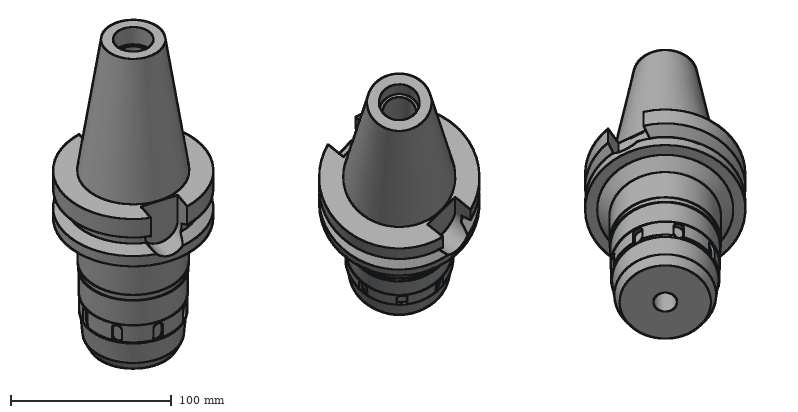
import cadquery as cq
import math

TOTAL_HEIGHT = 236.8
TAPER_LENGTH = 101.8
TAPER_RATIO = 7 / 24
GAUGE_DIAMETER = 69.9

FLANGE_RADIUS = 50.0
FLANGE_TOP_Z = 134.0
FLANGE_BOTTOM_Z = 96.9
GROOVE_RADIUS = 42.6
GROOVE_CENTRE_Z = 112.2
GROOVE_FLOOR_WIDTH = 6.2
GROOVE_FLANK_ANGLE = 30.0
NECK_CONE_RADIUS = 42.5

BODY_RADIUS = 34.8
BODY_TOP_Z = 89.0
BAND_RADIUS = 34.5
BAND_TOP_Z = 62.8
BAND_BOTTOM_Z = 58.3
SLEEVE_RADIUS = 34.0

NUT_RADIUS = 33.9
NUT_TOP_Z = 38.4
NUT_RIM_Z = 24.9
NUT_STEP_Z = 23.5
NOSE_TOP_RADIUS = 33.2
NOSE_BOTTOM_RADIUS = 31.7
NOSE_BOTTOM_Z = 7.0
FACE_RADIUS = 28.5

KEYWAY_COUNT = 2
KEYWAY_WIDTH = 25.5
KEYWAY_FLOOR_X = 35.3
KEYWAY_BOTTOM_Z = 101.0

SLOT_COUNT = 8
SLOT_WIDTH = 6.6
SLOT_LENGTH = 13.5
SLOT_CENTRE_Z = 30.3
SLOT_FLOOR_RADIUS = 31.5

THROUGH_RADIUS = 7.3
THREAD_RADIUS = 10.5
THREAD_DEPTH = 47.4
COUNTERBORE_RADIUS = 12.5
COUNTERBORE_DEPTH = 13.5


def make_body():
    """Revolve the half outline of the whole holder about Z."""
    gauge_z = TOTAL_HEIGHT - TAPER_LENGTH
    gauge_radius = GAUGE_DIAMETER / 2
    taper_top_radius = gauge_radius - TAPER_LENGTH * TAPER_RATIO / 2
    flank_rise = (FLANGE_RADIUS - GROOVE_RADIUS) * math.tan(math.radians(GROOVE_FLANK_ANGLE))
    groove_floor_top = GROOVE_CENTRE_Z + GROOVE_FLOOR_WIDTH / 2
    groove_floor_bottom = GROOVE_CENTRE_Z - GROOVE_FLOOR_WIDTH / 2
    outline = (
        cq.Workplane("XZ")
        .moveTo(0, TOTAL_HEIGHT)
        .lineTo(taper_top_radius, TOTAL_HEIGHT)
        .lineTo(gauge_radius, gauge_z)
        .lineTo(gauge_radius, FLANGE_TOP_Z)
        .lineTo(FLANGE_RADIUS, FLANGE_TOP_Z)
        .lineTo(FLANGE_RADIUS, groove_floor_top + flank_rise)
        .lineTo(GROOVE_RADIUS, groove_floor_top)
        .lineTo(GROOVE_RADIUS, groove_floor_bottom)
        .lineTo(FLANGE_RADIUS, groove_floor_bottom - flank_rise)
        .lineTo(FLANGE_RADIUS, FLANGE_BOTTOM_Z)
        .lineTo(NECK_CONE_RADIUS, FLANGE_BOTTOM_Z)
        .lineTo(BODY_RADIUS, BODY_TOP_Z)
        .lineTo(BODY_RADIUS, BAND_TOP_Z)
        .lineTo(BAND_RADIUS, BAND_TOP_Z)
        .lineTo(BAND_RADIUS, BAND_BOTTOM_Z)
        .lineTo(SLEEVE_RADIUS, BAND_BOTTOM_Z)
        .lineTo(SLEEVE_RADIUS, NUT_TOP_Z)
        .lineTo(NUT_RADIUS, NUT_TOP_Z)
        .lineTo(NUT_RADIUS, NUT_RIM_Z)
        .lineTo(NOSE_TOP_RADIUS, NUT_STEP_Z)
        .lineTo(NOSE_BOTTOM_RADIUS, NOSE_BOTTOM_Z)
        .lineTo(FACE_RADIUS, 0)
        .lineTo(0, 0)
        .close()
    )
    return outline.revolve(360, (0, 0, 0), (0, 1, 0))


def make_keyway():
    """Round-bottomed keyway cutter on the +X side, open at the top and outside."""
    half_width = KEYWAY_WIDTH / 2
    arc_centre_z = KEYWAY_BOTTOM_Z + half_width
    return (
        cq.Workplane("YZ", origin=(KEYWAY_FLOOR_X, 0, 0))
        .moveTo(-half_width, FLANGE_TOP_Z)
        .lineTo(-half_width, arc_centre_z)
        .threePointArc((0, KEYWAY_BOTTOM_Z), (half_width, arc_centre_z))
        .lineTo(half_width, FLANGE_TOP_Z)
        .close()
        .extrude(FLANGE_RADIUS - KEYWAY_FLOOR_X)
    )


def make_spanner_slot():
    """Flat-floored round-ended slot cutter on the +X side of the nut."""
    return (
        cq.Workplane("YZ", origin=(SLOT_FLOOR_RADIUS, 0, SLOT_CENTRE_Z))
        .slot2D(SLOT_LENGTH, SLOT_WIDTH, 90)
        .extrude(SLEEVE_RADIUS - SLOT_FLOOR_RADIUS)
    )


def cut_around(body, cutter, count):
    """Cut evenly spaced copies of a cutter around Z."""
    for index in range(count):
        body = body.cut(cutter.rotate((0, 0, 0), (0, 0, 1), index * 360 / count))
    return body


def cut_bore(body):
    """Through hole, threaded-section bore and counterbore from the taper end."""
    for radius, depth in (
        (THROUGH_RADIUS, TOTAL_HEIGHT),
        (THREAD_RADIUS, THREAD_DEPTH),
        (COUNTERBORE_RADIUS, COUNTERBORE_DEPTH),
    ):
        floor = cq.Workplane("XY", origin=(0, 0, TOTAL_HEIGHT - depth))
        body = body.cut(floor.circle(radius).extrude(depth))
    return body


result = make_body()
result = cut_around(result, make_keyway(), KEYWAY_COUNT)
result = cut_around(result, make_spanner_slot(), SLOT_COUNT)
result = cut_bore(result)